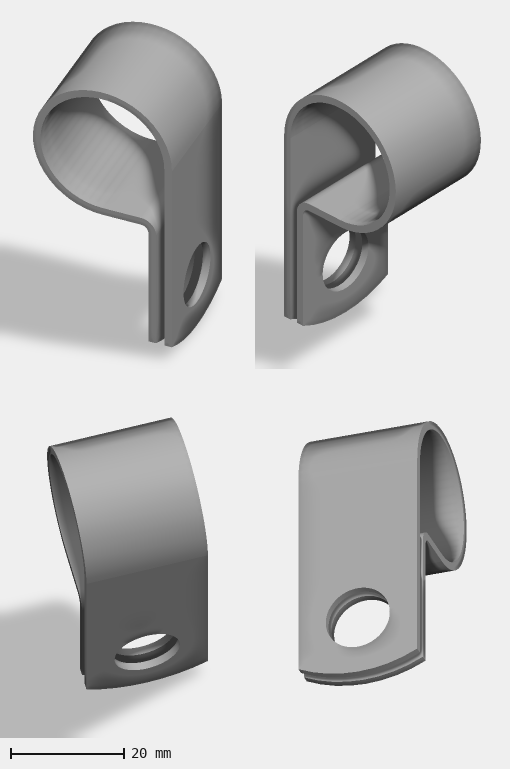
import cadquery as cq
import math

height = 54.65
ring_diameter = 26.85
strap_width = 22.25
thickness = 1.5
leg_gap = 1.6
bend_inner_radius = 1.5
hole_diameter = 12.0
hole_height = 11.1
end_radius = 25.0

outer_radius = ring_diameter / 2
inner_radius = outer_radius - thickness
bend_outer_radius = bend_inner_radius + thickness
bottom = outer_radius - height

short_leg_outer_x = inner_radius - leg_gap
short_leg_inner_x = short_leg_outer_x - thickness
bend_x = short_leg_outer_x - bend_outer_radius
bend_z = -inner_radius - bend_outer_radius
diagonal = math.sqrt(0.5)


def make_strap():
    """Bent strip: long leg, three-quarter ring, short flat, bend and short leg."""
    profile = (
        cq.Workplane("XZ")
        .moveTo(outer_radius, bottom)
        .lineTo(outer_radius, 0)
        .threePointArc((-outer_radius * diagonal, outer_radius * diagonal), (0, -outer_radius))
        .lineTo(bend_x, -outer_radius)
        .threePointArc(
            (bend_x + bend_inner_radius * diagonal, bend_z + bend_inner_radius * diagonal),
            (short_leg_inner_x, bend_z),
        )
        .lineTo(short_leg_inner_x, bottom)
        .lineTo(short_leg_outer_x, bottom)
        .lineTo(short_leg_outer_x, bend_z)
        .threePointArc(
            (bend_x + bend_outer_radius * diagonal, bend_z + bend_outer_radius * diagonal),
            (bend_x, -inner_radius),
        )
        .lineTo(0, -inner_radius)
        .threePointArc((-inner_radius * diagonal, inner_radius * diagonal), (inner_radius, 0))
        .lineTo(inner_radius, bottom)
        .close()
    )
    return profile.extrude(strap_width / 2, both=True)


def make_end_envelope():
    """Plate across X whose lower edge is the arc that rounds the leg ends."""
    half_width = strap_width / 2
    corner_z = bottom + end_radius - math.sqrt(end_radius**2 - half_width**2)
    return (
        cq.Workplane("YZ")
        .moveTo(-half_width, outer_radius)
        .lineTo(-half_width, corner_z)
        .threePointArc((0, bottom), (half_width, corner_z))
        .lineTo(half_width, outer_radius)
        .close()
        .extrude(outer_radius, both=True)
    )


def make_bolt_hole():
    """Cylinder along X through both legs."""
    return (
        cq.Workplane("YZ")
        .center(0, bottom + hole_height)
        .circle(hole_diameter / 2)
        .extrude(outer_radius)
    )


result = make_strap().intersect(make_end_envelope()).cut(make_bolt_hole())